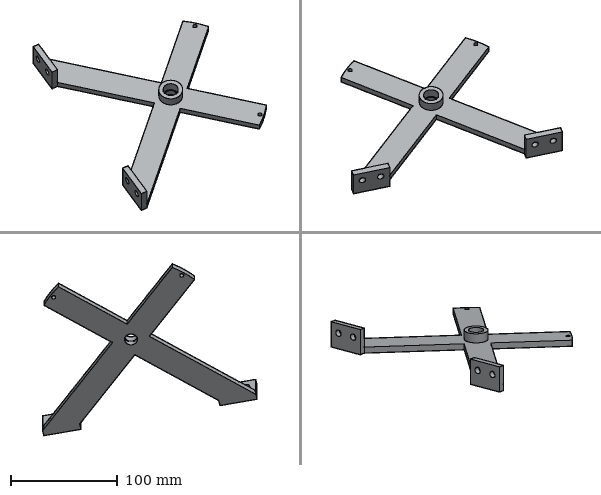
import cadquery as cq
import math

span = 203.4
arm_width = 25.0
arm_thickness = 6.0
arm_reach = 90.0
foot_height = 25.0
foot_thickness = 5.9
foot_hole_diameter = 6.0
tip_hole_radius = 86.5
tip_hole_diameter = 3.7
hub_diameter = 22.4
hub_top = 15.0
hub_bore_diameter = 14.0
arm_bore_diameter = 12.0

foot_width = arm_width * math.sqrt(2)
foot_center_x = (span - foot_width) / 2
foot_back_y = -foot_center_x
foot_hole_z = (arm_thickness + foot_height) / 2
arm_overlength = 2 * span


def make_arm(angle):
    """Flat bar through the hub axis, rounded at its tip and cut flush with its foot."""
    bar = (
        cq.Workplane("XY")
        .rect(arm_overlength, arm_width)
        .extrude(arm_thickness)
        .rotate((0, 0, 0), (0, 0, 1), angle)
    )
    tip_limit = cq.Workplane("XY").circle(arm_reach).extrude(arm_thickness)
    foot_limit = (
        cq.Workplane("XY")
        .box(span, -foot_back_y, arm_thickness, centered=(True, False, False))
        .translate((0, foot_back_y, 0))
    )
    return bar.intersect(tip_limit.union(foot_limit))


def make_foot(side):
    """Upright plate at the lower end of an arm, with two mounting holes."""
    plate = (
        cq.Workplane("XY")
        .box(foot_width, foot_thickness, foot_height, centered=(True, False, False))
        .translate((side * foot_center_x, foot_back_y - foot_thickness, 0))
    )
    hole_offset = foot_width / 4
    holes = (
        cq.Workplane("XZ", origin=(side * foot_center_x, foot_back_y, foot_hole_z))
        .pushPoints([(-hole_offset, 0), (hole_offset, 0)])
        .circle(foot_hole_diameter / 2)
        .extrude(foot_thickness)
    )
    return plate.cut(holes)


result = make_arm(45).union(make_arm(-45))
result = result.union(cq.Workplane("XY").circle(hub_diameter / 2).extrude(hub_top))

tip_hole_offset = tip_hole_radius / math.sqrt(2)
tip_holes = (
    cq.Workplane("XY")
    .pushPoints([(-tip_hole_offset, tip_hole_offset), (tip_hole_offset, tip_hole_offset)])
    .circle(tip_hole_diameter / 2)
    .extrude(arm_thickness)
)
arm_bore = cq.Workplane("XY").circle(arm_bore_diameter / 2).extrude(arm_thickness)
hub_bore = (
    cq.Workplane("XY", origin=(0, 0, arm_thickness))
    .circle(hub_bore_diameter / 2)
    .extrude(hub_top - arm_thickness)
)
result = result.cut(tip_holes).cut(arm_bore).cut(hub_bore)

for foot_side in (-1, 1):
    result = result.union(make_foot(foot_side))